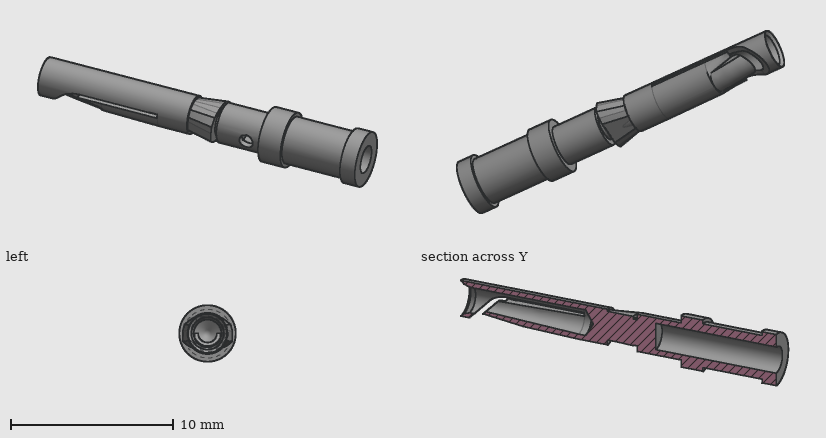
import cadquery as cq
import math

tube_end = 10.0
crown_end = 11.75
neck_end = 12.0
body_end = 15.0
flange_end = 16.5
barrel_end = 20.5
length = 21.5

tube_dia = 2.45
neck_dia = 1.8
body_dia = 2.55
flange_dia = 3.5
barrel_dia = 3.0
tube_radius = tube_dia / 2

socket_dia = 1.7
socket_depth = 9.0
mouth_dia = 2.4
lead_in_dia = 2.0
mouth_depth = 0.2
lead_in_depth = 0.6
drill_point_angle = 118.0

crimp_dia = 1.75
crimp_floor = 13.3
inspection_dia = 0.9
inspection_x = 14.0

slot_top = 0.25
slot_end = 8.0
slot_foot_x = 0.56
slot_bend_x = 1.34
slot_run_x = 2.75

tongue_bend_x = 4.25
tongue_bend_height = 1.10
wing_tip_x = 2.65
wing_tip_height = 0.03
nose_tip_x = 1.5
nose_tip_radius = 0.775
nose_half_width = 0.79
tongue_tip_inner_radius = 0.55
tongue_face_top_x = 2.27

crown_front_half = [
    (0, 1.08), (0.27, 1.05), (0.68, 0.88), (0.97, 0.48), (1.04, 0.22),
    (1.04, -0.44), (0.85, -0.66), (0.50, -0.87),
]
crown_back_half = [
    (0, 1.08), (0.55, 1.04), (0.93, 0.94), (1.42, 0.56), (1.53, 0.16),
    (1.53, -0.49), (1.20, -0.76), (0.80, -0.94),
]

overlap = 0.1


def cylinder(diameter, start, end):
    """Cylinder along the X axis."""
    return cq.Workplane("YZ", origin=(start, 0, 0)).circle(diameter / 2).extrude(end - start)


def revolve_about_x(profile):
    """Solid of revolution about X from (X, radius) points."""
    return cq.Workplane("XY").polyline(profile).close().revolve(360, (0, 0, 0), (1, 0, 0))


def box_between(x_range, y_range, z_range):
    """Box between the given limits."""
    sizes = [high - low for low, high in (x_range, y_range, z_range)]
    corner = (x_range[0], y_range[0], z_range[0])
    return cq.Workplane("XY", origin=corner).box(*sizes, centered=False)


def turned_body():
    steps = [
        (tube_dia, tube_end),
        (neck_dia, neck_end),
        (body_dia, body_end),
        (flange_dia, flange_end),
        (barrel_dia, barrel_end),
        (flange_dia, length),
    ]
    profile = [(0, 0)]
    start = 0
    for diameter, end in steps:
        profile += [(start, diameter / 2), (end, diameter / 2)]
        start = end
    profile.append((length, 0))
    return revolve_about_x(profile)


def socket_bore():
    radius = socket_dia / 2
    point_length = radius / math.tan(math.radians(drill_point_angle / 2))
    return revolve_about_x([
        (0, 0),
        (0, mouth_dia / 2),
        (mouth_depth, lead_in_dia / 2),
        (lead_in_depth, radius),
        (socket_depth - point_length, radius),
        (socket_depth, 0),
    ])


def tongue_slot():
    """Cut that removes the lower part of the tube, leaving room for the tongue."""
    foot_z = -tube_radius
    bend_z = foot_z + slot_bend_x - slot_foot_x
    below = foot_z - overlap
    return (
        cq.Workplane("XZ")
        .moveTo(slot_end, slot_top)
        .lineTo(slot_run_x, slot_top)
        .tangentArcPoint((slot_bend_x, bend_z), relative=False)
        .lineTo(slot_foot_x - overlap, below)
        .lineTo(slot_end, below)
        .close()
        .extrude(tube_radius + overlap, both=True)
    )


def half_ellipse_wire(x, height):
    """Lower half of an ellipse as wide as the tube, closed by its flat top at Z = 0."""
    return (
        cq.Workplane("YZ", origin=(x, 0, 0))
        .ellipseArc(tube_radius, height, 180, 360, startAtCurrent=False)
        .close()
        .val()
    )


def half_ellipse_loft(start, start_height, end, end_height):
    wires = [half_ellipse_wire(start, start_height), half_ellipse_wire(end, end_height)]
    return cq.Workplane(obj=cq.Solid.makeLoft(wires, True))


def tongue():
    wings = half_ellipse_loft(wing_tip_x, wing_tip_height, tongue_bend_x, tongue_bend_height)
    root = half_ellipse_loft(tongue_bend_x, tongue_bend_height, slot_end, tube_radius)
    nose = revolve_about_x([
        (nose_tip_x, 0),
        (nose_tip_x, nose_tip_radius),
        (tongue_bend_x, tongue_bend_height),
        (tongue_bend_x, 0),
    ])
    nose_sides = box_between(
        (0, tongue_bend_x), (-nose_half_width, nose_half_width), (-tube_radius, 0)
    )
    inside = revolve_about_x([
        (nose_tip_x, 0),
        (nose_tip_x, tongue_tip_inner_radius),
        (slot_end, socket_dia / 2),
        (slot_end, 0),
    ])
    end_trim = (
        cq.Workplane("XZ")
        .polyline([(0, 0), (tongue_face_top_x, 0), (0, -tongue_face_top_x)])
        .close()
        .extrude(tube_radius, both=True)
    )
    front = wings.union(nose.intersect(nose_sides))
    return front.union(root).cut(inside).cut(end_trim)


def crown_wire(x, half_outline):
    mirrored = [(-y, z) for y, z in reversed(half_outline[1:])]
    return cq.Workplane("YZ", origin=(x, 0, 0)).polyline(half_outline + mirrored).close().val()


def crown():
    wires = [crown_wire(tube_end, crown_front_half), crown_wire(crown_end, crown_back_half)]
    return cq.Workplane(obj=cq.Solid.makeLoft(wires, True))


def inspection_hole():
    """Radial hole from the -Y side to the middle of the crimp bore."""
    return (
        cq.Workplane("XZ", origin=(inspection_x, 0, 0))
        .circle(inspection_dia / 2)
        .extrude(body_dia)
    )


result = (
    turned_body()
    .union(crown())
    .cut(socket_bore())
    .cut(tongue_slot())
    .union(tongue())
    .cut(cylinder(crimp_dia, crimp_floor, length))
    .cut(inspection_hole())
)